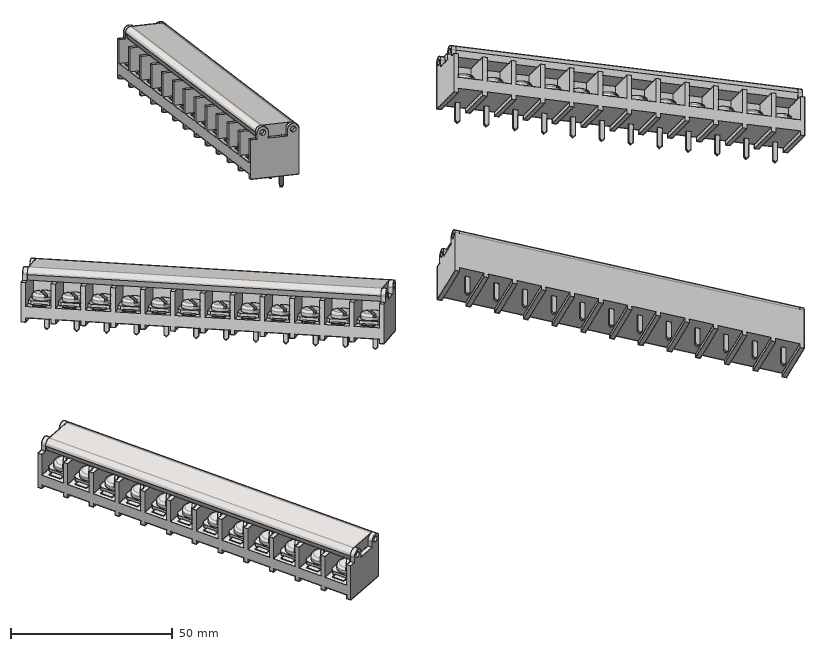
import cadquery as cq
import math


length = 115.5
depth = 16.0
height = 16.7
cell_count = 12
wall = 1.5
pitch = (length - wall) / cell_count
cell_width = pitch - wall
underside_z = 1.4
floor_z = 5.1
seat_z = 12.8
pocket_depth = 10.9

cover_front_y = 2.1
cover_radius = 2.0
cover_lean = 22.0
ear_width = 3.8
ear_hole_diameter = 1.8
ear_hole_z = height - ear_width / 2

tongue_width = 4.2
tongue_front_y = 1.3
tongue_thickness = 0.2
plate_front_y = 2.9
plate_front_width = 5.9
plate_thickness = 1.2
screw_y = 6.8
screw_diameter = 6.8
screw_height = 1.8
screw_rounding = 0.8
slot_width = 0.9
slot_depth = 0.8
slot_angle = 120.0

pin_y = 12.2
pin_width = 1.5
pin_thickness = 0.8
pin_tip_z = -5.3
pin_point_height = pin_width / 2


def box(x, y, z, size_x, size_y, size_z):
    """Box with its lowest corner at (x, y, z)."""
    return cq.Workplane("XY").box(size_x, size_y, size_z, centered=False).translate((x, y, z))


def make_housing():
    """Block up to the seat, hollowed into open cells, with a foot under every wall."""
    housing = box(0, 0, 0, length, depth, seat_z)
    for cell in range(cell_count):
        left = wall + cell * pitch
        pocket = box(left, 0, floor_z, cell_width, pocket_depth, seat_z - floor_z)
        gap = box(left, 0, 0, cell_width, depth, underside_z)
        housing = housing.cut(pocket).cut(gap)
    return housing


def make_cover():
    """Lid over the cells: rounded top edges and a front face leaning inwards below the rounding."""
    round_z = height - cover_radius
    lean_offset = (round_z - seat_z) * math.tan(math.radians(cover_lean))
    bulge = cover_radius * (1 - math.sqrt(0.5))
    return (
        cq.Workplane("YZ", origin=(wall, 0, 0))
        .moveTo(cover_front_y + lean_offset, seat_z)
        .lineTo(cover_front_y, round_z)
        .threePointArc((cover_front_y + bulge, height - bulge), (cover_front_y + cover_radius, height))
        .lineTo(depth - cover_radius, height)
        .threePointArc((depth - bulge, height - bulge), (depth, round_z))
        .lineTo(depth, seat_z)
        .close()
        .extrude(length - 2 * wall)
    )


def make_ear(x, center_y):
    """Round-topped hinge ear on an end wall, with its pivot hole."""
    radius = ear_width / 2
    round_z = height - radius
    ear = (
        cq.Workplane("YZ", origin=(x, 0, 0))
        .moveTo(center_y - radius, seat_z)
        .lineTo(center_y - radius, round_z)
        .threePointArc((center_y, height), (center_y + radius, round_z))
        .lineTo(center_y + radius, seat_z)
        .close()
        .extrude(wall)
    )
    hole = (
        cq.Workplane("YZ", origin=(x, center_y, ear_hole_z))
        .circle(ear_hole_diameter / 2)
        .extrude(wall)
    )
    return ear.cut(hole)


def make_tongue(center_x):
    """Thin metal tongue lying on the cell floor in front of the contact plate."""
    tongue_length = plate_front_y - tongue_front_y
    left = center_x - tongue_width / 2
    return box(left, tongue_front_y, floor_z, tongue_width, tongue_length, tongue_thickness)


def make_plate(center_x):
    """Contact plate whose front corners flare out to the cell walls."""
    flare = (cell_width - plate_front_width) / 2
    half_front = plate_front_width / 2
    half_back = cell_width / 2
    return (
        cq.Workplane("XY", origin=(center_x, 0, floor_z))
        .moveTo(-half_front, plate_front_y)
        .lineTo(half_front, plate_front_y)
        .lineTo(half_back, plate_front_y + flare)
        .lineTo(half_back, pocket_depth)
        .lineTo(-half_back, pocket_depth)
        .lineTo(-half_back, plate_front_y + flare)
        .close()
        .extrude(plate_thickness)
    )


def make_screw(center_x):
    """Screw head with a rounded top edge and a slanting driver slot."""
    head = cq.Workplane("XY").circle(screw_diameter / 2).extrude(screw_height)
    head = head.faces(">Z").edges().fillet(screw_rounding)
    slot = (
        cq.Workplane("XY", origin=(0, 0, screw_height - slot_depth))
        .rect(screw_diameter, slot_width)
        .extrude(slot_depth)
        .rotate((0, 0, 0), (0, 0, 1), slot_angle)
    )
    return head.cut(slot).translate((center_x, screw_y, floor_z + plate_thickness))


def make_pin(center_x):
    """Flat solder pin with a pointed tip."""
    half = pin_width / 2
    return (
        cq.Workplane("XZ", origin=(center_x, pin_y + pin_thickness / 2, 0))
        .moveTo(-half, underside_z)
        .lineTo(half, underside_z)
        .lineTo(half, pin_tip_z + pin_point_height)
        .lineTo(0, pin_tip_z)
        .lineTo(-half, pin_tip_z + pin_point_height)
        .close()
        .extrude(pin_thickness)
    )


result = make_housing().union(make_cover())

for end_x in (0, length - wall):
    for ear_y in (cover_front_y + ear_width / 2, depth - ear_width / 2):
        result = result.union(make_ear(end_x, ear_y))

for cell in range(cell_count):
    cell_x = wall / 2 + (cell + 0.5) * pitch
    result = result.union(make_tongue(cell_x))
    result = result.union(make_plate(cell_x))
    result = result.union(make_screw(cell_x))
    result = result.union(make_pin(cell_x))